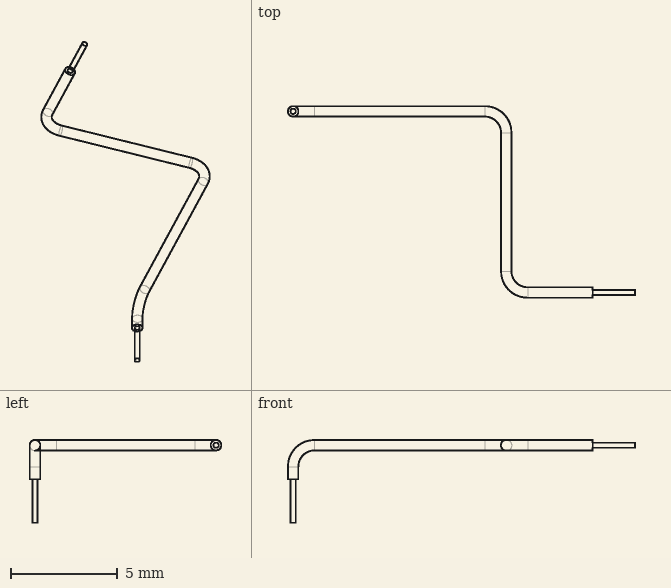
import cadquery as cq
import math

sleeve_diameter = 0.5
core_diameter = 0.25
bend_radius = 1.0

down_sleeve = 0.6
first_run = 8.0
cross_run = 6.5
last_run = 3.05
down_core = 2.05
end_core = 2.0

sleeve_bottom = -bend_radius - down_sleeve
first_run_end = bend_radius + first_run
cross_x = first_run_end + bend_radius
cross_start_y = -bend_radius
cross_end_y = cross_start_y - cross_run
last_run_y = cross_end_y - bend_radius
last_run_start = cross_x + bend_radius
sleeve_end = last_run_start + last_run

arc_middle = bend_radius * (1 - math.sqrt(0.5))


def sleeve():
    """Insulating sleeve: four straight runs joined by three quarter bends."""
    path = cq.Wire.assembleEdges([
        cq.Edge.makeLine(cq.Vector(0, 0, sleeve_bottom), cq.Vector(0, 0, -bend_radius)),
        cq.Edge.makeThreePointArc(
            cq.Vector(0, 0, -bend_radius),
            cq.Vector(arc_middle, 0, -arc_middle),
            cq.Vector(bend_radius, 0, 0),
        ),
        cq.Edge.makeLine(cq.Vector(bend_radius, 0, 0), cq.Vector(first_run_end, 0, 0)),
        cq.Edge.makeThreePointArc(
            cq.Vector(first_run_end, 0, 0),
            cq.Vector(cross_x - arc_middle, -arc_middle, 0),
            cq.Vector(cross_x, cross_start_y, 0),
        ),
        cq.Edge.makeLine(cq.Vector(cross_x, cross_start_y, 0), cq.Vector(cross_x, cross_end_y, 0)),
        cq.Edge.makeThreePointArc(
            cq.Vector(cross_x, cross_end_y, 0),
            cq.Vector(cross_x + arc_middle, last_run_y + arc_middle, 0),
            cq.Vector(last_run_start, last_run_y, 0),
        ),
        cq.Edge.makeLine(cq.Vector(last_run_start, last_run_y, 0), cq.Vector(sleeve_end, last_run_y, 0)),
    ])
    profile = cq.Workplane("XY", origin=(0, 0, sleeve_bottom)).circle(sleeve_diameter / 2)
    return profile.sweep(cq.Workplane(path))


def bare_core(start, direction, length):
    """Bare conductor that sticks out of a sleeve end."""
    plane = cq.Plane(origin=start, normal=direction)
    return cq.Workplane(plane).circle(core_diameter / 2).extrude(length)


result = (
    sleeve()
    .union(bare_core((0, 0, sleeve_bottom), (0, 0, -1), down_core))
    .union(bare_core((sleeve_end, last_run_y, 0), (1, 0, 0), end_core))
)